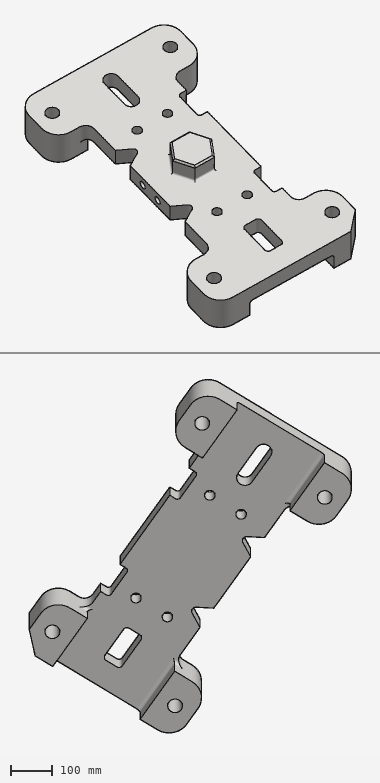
import cadquery as cq
import math

length = 800.0
width = 450.0
block_height = 100.0
plate_thickness = block_height / 2

waist_length = 500.0
block_length = (length - waist_length) / 2
block_projection = 100.0
waist_width = width - 2 * block_projection
corner_round = 50.0
corner_chamfer = 50.0
waist_fillet = 25.0
channel_fillet = 10.0

notch_length = 84.0
notch_depth = 25.0
notch_fillet = 8.0
notch_spacing = 300.0

vee_opening = 60.0
vee_angle = 60.0
vee_tip_radius = 10.0
vee_spacing = 220.0

block_hole_diameter = 35.0
block_hole_spacing_x = 650.0
block_hole_spacing_y = 350.0
plate_hole_diameter = 25.0
plate_hole_spacing_x = 320.0
plate_hole_spacing_y = 90.0

opening_offset = 285.0
slot_length = 120.0
slot_width = 40.0
window_length = 100.0
window_width = 50.0
window_fillet = 10.0

drill_diameter = 20.0
drill_depth = 50.0
drill_point_angle = 118.0
drill_spacing = 60.0

boss_across_flats = 100.0
boss_height = plate_thickness
boss_chamfer = 5.0
boss_base_fillet = 5.0


def make_body():
    """H-shaped outline at full height, with rounded and chamfered corners."""
    body = cq.Workplane("XY").box(waist_length, waist_width, block_height, centered=(True, True, False))
    for side in (-1, 1):
        block = (
            cq.Workplane("XY")
            .center(side * (length - block_length) / 2, 0)
            .box(block_length, width, block_height, centered=(True, True, False))
        )
        if side > 0:
            block = block.edges("|Z and >X and >Y").chamfer(corner_chamfer)
            block = block.edges("|Z and (<X or <Y)").fillet(corner_round)
        else:
            block = block.edges("|Z").fillet(corner_round)
        body = body.union(block)
    reach_x = waist_length / 2 + waist_fillet
    reach_y = waist_width / 2 + waist_fillet
    waist_zone = cq.selectors.BoxSelector((-reach_x, -reach_y, 0), (reach_x, reach_y, block_height))
    return body.edges("|Z").edges(waist_zone).fillet(waist_fillet)


def channel(size_x, size_y, run_axis):
    """Underside channel with its two top edges rounded along the run."""
    height = block_height - plate_thickness
    box = cq.Workplane("XY").box(size_x, size_y, height, centered=(True, True, False))
    return box.edges(">Z").edges("|" + run_axis).fillet(channel_fillet)


def square_notch(x):
    """Notch open to +Y with rounded inner corners."""
    top = waist_width / 2
    return (
        cq.Workplane("XY")
        .center(x, top)
        .box(notch_length, 2 * notch_depth, block_height, centered=(True, True, False))
        .edges("|Z and <Y")
        .fillet(notch_fillet)
    )


def vee_notch(x):
    """Triangular notch open to -Y with a rounded tip."""
    edge = -waist_width / 2
    rise = vee_opening / 2 / math.tan(math.radians(vee_angle / 2))
    return (
        cq.Workplane("XY")
        .moveTo(x - vee_opening / 2, edge)
        .lineTo(x + vee_opening / 2, edge)
        .lineTo(x, edge + rise)
        .close()
        .extrude(block_height)
        .edges("|Z and >Y")
        .fillet(vee_tip_radius)
    )


def drilled_hole(x):
    """Blind hole along +Y with a conical bottom."""
    radius = drill_diameter / 2
    point = radius / math.tan(math.radians(drill_point_angle / 2))
    mouth = -waist_width / 2
    height = block_height - plate_thickness / 2
    return (
        cq.Workplane("XY", origin=(x, mouth, height))
        .polyline([(0, 0), (radius, 0), (radius, drill_depth), (0, drill_depth + point)])
        .close()
        .revolve(360, (0, 0), (0, 1))
    )


def hole_pattern(spacing_x, spacing_y, diameter):
    """Four vertical through holes on a rectangle about the centre."""
    return (
        cq.Workplane("XY")
        .rect(spacing_x, spacing_y, forConstruction=True)
        .vertices()
        .circle(diameter / 2)
        .extrude(block_height)
    )


result = make_body()
result = result.cut(channel(length, waist_width, "X"))
result = result.cut(channel(waist_length, width, "Y"))

for side in (-1, 1):
    result = result.cut(square_notch(side * notch_spacing / 2))
    result = result.cut(vee_notch(side * vee_spacing / 2))
    result = result.cut(drilled_hole(side * drill_spacing / 2))

result = result.cut(hole_pattern(block_hole_spacing_x, block_hole_spacing_y, block_hole_diameter))
result = result.cut(hole_pattern(plate_hole_spacing_x, plate_hole_spacing_y, plate_hole_diameter))

slot = cq.Workplane("XY").center(-opening_offset, 0).slot2D(slot_length, slot_width).extrude(block_height)
window = (
    cq.Workplane("XY")
    .center(opening_offset, 0)
    .rect(window_length, window_width)
    .extrude(block_height)
    .edges("|Z")
    .fillet(window_fillet)
)
result = result.cut(slot).cut(window)

across_corners = boss_across_flats / math.cos(math.radians(30))
boss = (
    cq.Workplane("XY", origin=(0, 0, block_height))
    .transformed(rotate=(0, 0, 90))
    .polygon(6, across_corners)
    .extrude(boss_height)
    .faces(">Z")
    .chamfer(boss_chamfer)
)
result = result.union(boss)

base_reach = boss_across_flats / 2 + boss_base_fillet
boss_base = cq.selectors.BoxSelector(
    (-base_reach, -base_reach, block_height - boss_base_fillet),
    (base_reach, base_reach, block_height + boss_base_fillet),
)
result = result.edges(boss_base).fillet(boss_base_fillet)